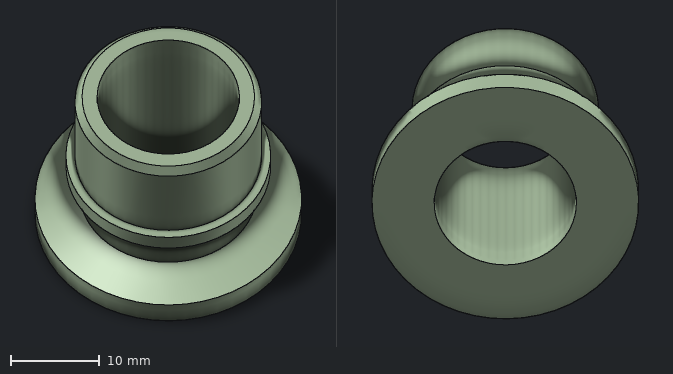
import cadquery as cq
import math

flange_radius = 30 / 2
total_height = 22.0

bore_radius = 16.0 / 2
neck_radius = 20.0 / 2
collar_radius = 23.0 / 2
barrel_radius = 21 / 2

rim_height = 3
collar_bottom = 9
collar_thickness = 2.0
barrel_chamfer = 0.8
flange_slope = 15

collar_top = collar_bottom + collar_thickness
cone_top = rim_height + (flange_radius - neck_radius) * math.tan(math.radians(flange_slope))

profile = [
    (bore_radius, 0),
    (flange_radius, 0),
    (flange_radius, rim_height),
    (neck_radius, cone_top),
    (neck_radius, collar_bottom),
    (collar_radius, collar_bottom),
    (collar_radius, collar_top),
    (barrel_radius, collar_top),
    (barrel_radius, total_height - barrel_chamfer),
    (barrel_radius - barrel_chamfer, total_height),
    (bore_radius, total_height),
]

result = cq.Workplane("XZ").polyline(profile).close().revolve(360, (0, 0, 0), (0, 1, 0))